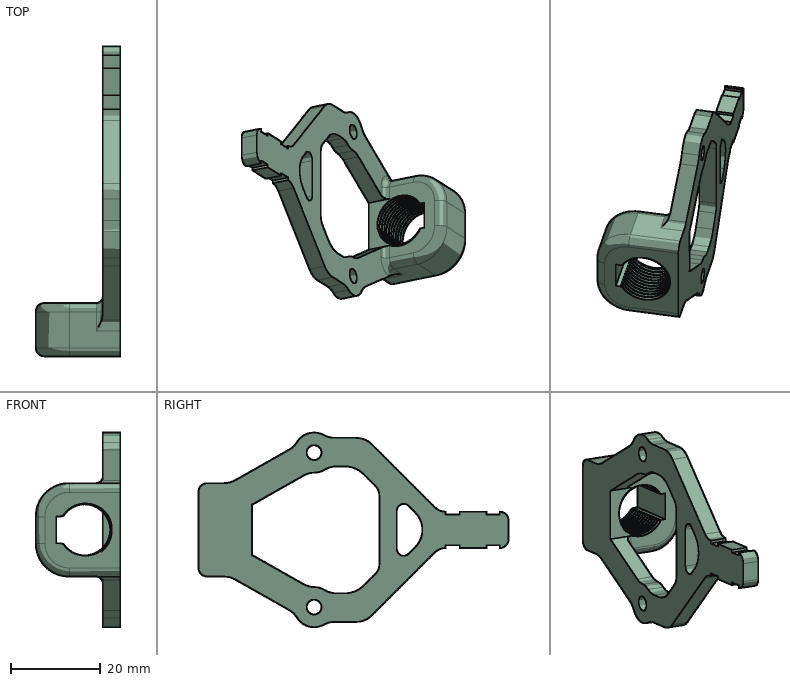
import cadquery as cq
import math

LENGTH = 69.6
PLATE_THICKNESS = 4.0

TAIL_HALF_HEIGHT = 4.1
TAIL_CORNER_RADIUS = 2.0
NOTCH_DEPTH = 0.6
NOTCHES = ((64.7, 67.6), (55.5, 58.6))

TAIL_CORNER_Y = 54.0
TAIL_BLEND_RADIUS = 3.5
FRAME_HALF_HEIGHT = 20.7
SHOULDER_RADIUS = 5.0
ARM_ANGLE = math.radians(29.5)
ARM_HALF_WIDTH = 3.35
ARM_BLEND_RADIUS = 5.0

EAR_Y = 25.95
EAR_Z = 17.3
EAR_RADIUS = 4.5
EAR_BLEND_RADIUS = 5.0
EAR_HOLE_DIAMETER = 3.3

SIDE_BAND_WIDTH = 6.05
OPENING_END_Y = 40.6
OPENING_HALF_HEIGHT = 14.2
OPENING_SHOULDER_RADIUS = 6.0
OPENING_END_RADIUS = 3.0

CROSSBAR_WIDTH = 4.0
WINDOW_BAND_WIDTH = 4.0
WINDOW_TIP_RADIUS = 5.5
WINDOW_SIDE_RADIUS = 1.5

BLOCK_WIDTH = 19.0
BLOCK_DEPTH = 12.05
BLOCK_HALF_HEIGHT = 10.5
BLOCK_CORNER_RADIUS = 7.5
BLOCK_EDGE_RADIUS = 2.0
ROOT_RADIUS = 1.4

BORE_X = -8.0
MINOR_RADIUS = 5.7
MAJOR_RADIUS = 6.1
THREAD_PITCH = 1.05
THREAD_CREST_WIDTH = 0.2
THREAD_START_ANGLE = 120
THREAD_EXTRA_TURNS = 2
CREST_CLEARANCE = 0.1
SLOT_REACH = 6.3
SLOT_HALF_HEIGHT = BLOCK_HALF_HEIGHT - BLOCK_CORNER_RADIUS
SLOT_BLEND_RADIUS = 1.4

OUTER_DIAGONAL = TAIL_CORNER_Y + TAIL_HALF_HEIGHT
OPENING_DIAGONAL = OUTER_DIAGONAL - SIDE_BAND_WIDTH * math.sqrt(2)
WINDOW_DIAGONAL = OUTER_DIAGONAL - WINDOW_BAND_WIDTH * math.sqrt(2)


def arm_z(y, offset):
    """Height at y of the arm line that lies offset outside the arm's centre line."""
    return EAR_Z + (y - EAR_Y) * math.tan(ARM_ANGLE) + offset / math.cos(ARM_ANGLE)


def arm_y(z, offset):
    """Position at height z of the arm line that lies offset outside the arm's centre line."""
    return EAR_Y + (z - EAR_Z - offset / math.cos(ARM_ANGLE)) / math.tan(ARM_ANGLE)


def mirrored_prism(upper_points, thickness):
    """Prism from X = -thickness to X = 0 over an upper half outline and its mirror image."""
    lower_points = [(y, -z) for y, z in reversed(upper_points)]
    return cq.Workplane("YZ").polyline(upper_points + lower_points).close().extrude(-thickness)


def round_pair(body, thickness, radius, y, z):
    """Round the edges along X at (y, z) and (y, -z)."""
    for side in (1, -1):
        nearest = cq.selectors.NearestToPointSelector((-thickness / 2, y, side * z))
        body = body.edges("|X").edges(nearest).fillet(radius)
    return body


def ear_crossings():
    """Points where the ear circle crosses the straight edges of the frame."""
    arm_turn = math.acos(ARM_HALF_WIDTH / EAR_RADIUS)
    outward = math.pi / 2 + ARM_ANGLE
    angles = (
        math.asin((FRAME_HALF_HEIGHT - EAR_Z) / EAR_RADIUS),
        -math.asin((EAR_Z - OPENING_HALF_HEIGHT) / EAR_RADIUS),
        outward + arm_turn,
        outward + math.pi - arm_turn,
    )
    return [(EAR_Y + EAR_RADIUS * math.cos(a), EAR_Z + EAR_RADIUS * math.sin(a)) for a in angles]


def make_frame(thickness):
    """Tail, side bands, ears and arms, as far as the block's front rounding."""
    arm_end_y = arm_y(BLOCK_HALF_HEIGHT, ARM_HALF_WIDTH)
    shoulder_y = OUTER_DIAGONAL - FRAME_HALF_HEIGHT
    frame = mirrored_prism(
        [
            (LENGTH, TAIL_HALF_HEIGHT),
            (TAIL_CORNER_Y, TAIL_HALF_HEIGHT),
            (shoulder_y, FRAME_HALF_HEIGHT),
            (arm_y(FRAME_HALF_HEIGHT, ARM_HALF_WIDTH), FRAME_HALF_HEIGHT),
            (arm_end_y, BLOCK_HALF_HEIGHT),
            (BLOCK_EDGE_RADIUS, BLOCK_HALF_HEIGHT),
        ],
        thickness,
    )
    frame = round_pair(frame, thickness, TAIL_CORNER_RADIUS, LENGTH, TAIL_HALF_HEIGHT)
    frame = round_pair(frame, thickness, TAIL_BLEND_RADIUS, TAIL_CORNER_Y, TAIL_HALF_HEIGHT)
    frame = round_pair(frame, thickness, SHOULDER_RADIUS, shoulder_y, FRAME_HALF_HEIGHT)
    frame = round_pair(frame, thickness, ARM_BLEND_RADIUS, arm_end_y, BLOCK_HALF_HEIGHT)

    frame = frame.cut(make_opening(thickness)).cut(make_window(thickness))
    ears = cq.Workplane("YZ").pushPoints([(EAR_Y, EAR_Z), (EAR_Y, -EAR_Z)])
    frame = frame.union(ears.circle(EAR_RADIUS).extrude(-thickness))
    for y, z in ear_crossings():
        frame = round_pair(frame, thickness, EAR_BLEND_RADIUS, y, z)
    frame = frame.cut(ears.circle(EAR_HOLE_DIAMETER / 2).extrude(-thickness))
    return frame.cut(make_notches(thickness))


def make_opening(thickness):
    """Large opening between the arms, from the block to the crossbar."""
    shoulder_y = OPENING_DIAGONAL - OPENING_HALF_HEIGHT
    end_z = OPENING_DIAGONAL - OPENING_END_Y
    opening = mirrored_prism(
        [
            (OPENING_END_Y, end_z),
            (shoulder_y, OPENING_HALF_HEIGHT),
            (arm_y(OPENING_HALF_HEIGHT, -ARM_HALF_WIDTH), OPENING_HALF_HEIGHT),
            (BLOCK_DEPTH, arm_z(BLOCK_DEPTH, -ARM_HALF_WIDTH)),
        ],
        thickness,
    )
    opening = round_pair(opening, thickness, OPENING_SHOULDER_RADIUS, shoulder_y, OPENING_HALF_HEIGHT)
    return round_pair(opening, thickness, OPENING_END_RADIUS, OPENING_END_Y, end_z)


def make_window(thickness):
    """Triangular window between the crossbar and the tail."""
    side_y = OPENING_END_Y + CROSSBAR_WIDTH
    side_z = WINDOW_DIAGONAL - side_y
    outline = [(side_y, -side_z), (side_y, side_z), (WINDOW_DIAGONAL, 0)]
    window = cq.Workplane("YZ").polyline(outline).close().extrude(-thickness)
    window = round_pair(window, thickness, WINDOW_SIDE_RADIUS, side_y, side_z)
    return window.edges("|X and >Y").fillet(WINDOW_TIP_RADIUS)


def make_notches(thickness):
    """Shallow notches in both long sides of the tail."""
    notches = cq.Workplane("YZ")
    for start, end in NOTCHES:
        notches = notches.pushPoints(
            [((start + end) / 2, side * TAIL_HALF_HEIGHT) for side in (1, -1)]
        ).rect(end - start, 2 * NOTCH_DEPTH)
    return notches.extrude(-thickness)


def make_block():
    """Block with two large corners, rounded along its front and back outline."""
    block = cq.Workplane("XY").box(
        BLOCK_WIDTH, BLOCK_DEPTH, 2 * BLOCK_HALF_HEIGHT, centered=(False, False, True)
    ).translate((-BLOCK_WIDTH, 0, 0))
    block = block.edges("|Y and <X").fillet(BLOCK_CORNER_RADIUS)
    return block.faces("<Y or >Y").edges("not >X").fillet(BLOCK_EDGE_RADIUS)


def make_root(block):
    """Concave fillet where the block rises from the arms, kept to the arms' outline."""
    margin = 3 * ROOT_RADIUS
    base = cq.Workplane("XY").box(
        PLATE_THICKNESS,
        BLOCK_DEPTH + 2 * margin,
        2 * (BLOCK_HALF_HEIGHT + margin),
        centered=(False, False, True),
    ).translate((-PLATE_THICKNESS, -margin, 0))
    near_block = cq.selectors.BoxSelector(
        (-PLATE_THICKNESS - ROOT_RADIUS / 2, -ROOT_RADIUS, -BLOCK_HALF_HEIGHT - ROOT_RADIUS),
        (-PLATE_THICKNESS + ROOT_RADIUS / 2, BLOCK_DEPTH + ROOT_RADIUS, BLOCK_HALF_HEIGHT + ROOT_RADIUS),
    )
    flared = base.union(block).edges(near_block).fillet(ROOT_RADIUS)
    return flared.intersect(make_frame(PLATE_THICKNESS + ROOT_RADIUS))


def make_keyway():
    """Slot toward -X, joined by rounded edges to a core just inside the thread crests."""
    core_radius = MINOR_RADIUS - CREST_CLEARANCE
    core = cq.Workplane("XZ").center(BORE_X, 0).circle(core_radius).extrude(-BLOCK_DEPTH)
    slot = (
        cq.Workplane("XZ")
        .center(BORE_X - SLOT_REACH / 2, 0)
        .rect(SLOT_REACH, 2 * SLOT_HALF_HEIGHT)
        .extrude(-BLOCK_DEPTH)
    )
    crossing_x = BORE_X - math.sqrt(core_radius**2 - SLOT_HALF_HEIGHT**2)
    keyway = core.union(slot)
    for side in (1, -1):
        corner = cq.selectors.NearestToPointSelector((crossing_x, BLOCK_DEPTH / 2, side * SLOT_HALF_HEIGHT))
        keyway = keyway.edges("|Y").edges(corner).fillet(SLOT_BLEND_RADIUS)
    return keyway


def thread_turn(start):
    """Faces of one full turn of the thread around Z, from the crest edge at height start."""
    groove_width = THREAD_PITCH - THREAD_CREST_WIDTH
    profile = [
        (MINOR_RADIUS, 0),
        (MAJOR_RADIUS, groove_width / 2),
        (MINOR_RADIUS, groove_width),
        (MINOR_RADIUS, THREAD_PITCH),
    ]
    helices = [
        cq.Wire.makeHelix(THREAD_PITCH, THREAD_PITCH, radius, cq.Vector(0, 0, start + height)).Edges()[0]
        for radius, height in profile
    ]
    return [cq.Face.makeRuledSurface(lower, upper) for lower, upper in zip(helices, helices[1:])]


def make_thread_surface():
    """Threaded tube surface along Y that runs past both ends of the bore."""
    turns = math.ceil(BLOCK_DEPTH / THREAD_PITCH) + 2 * THREAD_EXTRA_TURNS
    faces = []
    for turn in range(turns):
        faces += thread_turn((turn - THREAD_EXTRA_TURNS) * THREAD_PITCH)
    surface = cq.Shell.makeShell(faces)
    surface = surface.rotate(cq.Vector(), cq.Vector(0, 0, 1), THREAD_START_ANGLE)
    surface = surface.rotate(cq.Vector(), cq.Vector(1, 0, 0), -90)
    return surface.translate(cq.Vector(BORE_X, 0, 0))


block = make_block()
body = make_frame(PLATE_THICKNESS).union(make_root(block)).union(block)
pieces = body.val().split(make_thread_surface()).Solids()
threaded = max(pieces, key=lambda piece: piece.Volume())
result = cq.Workplane(obj=threaded).cut(make_keyway())